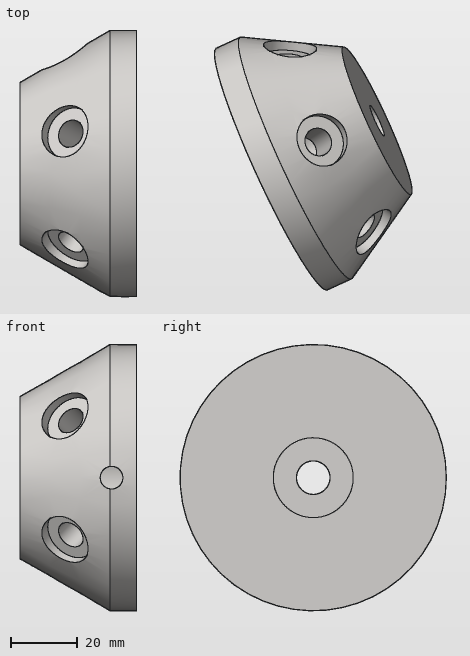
import cadquery as cq
import math

rim_radius = 40.0
total_length = 35.0
rim_width = 8.0
cone_half_angle = 30.0
bore_diameter = 10.0

recess_diameter = 24.0
recess_depth = 14.0

socket_count = 5
counterbore_diameter = 16.0
counterbore_depth = 3.5
socket_hole_diameter = 8.5
socket_hole_depth = 17.0
drill_point_angle = 118.0
tool_clearance = 8.0

side_hole_diameter = 6.8
side_hole_x = 27.5

cone_length = total_length - rim_width
cone_slope = math.tan(math.radians(cone_half_angle))
front_radius = rim_radius - cone_length * cone_slope


def make_body():
    """Revolve the half profile about the X axis."""
    return (
        cq.Workplane("XY")
        .moveTo(0, 0)
        .lineTo(0, front_radius)
        .lineTo(cone_length, rim_radius)
        .lineTo(total_length, rim_radius)
        .lineTo(total_length, 0)
        .close()
        .revolve(360, (0, 0, 0), (1, 0, 0))
    )


def make_bore():
    return cq.Workplane("YZ").circle(bore_diameter / 2).extrude(total_length)


def make_recess():
    return (
        cq.Workplane("YZ")
        .workplane(offset=total_length - recess_depth)
        .circle(recess_diameter / 2)
        .extrude(recess_depth)
    )


def make_socket():
    """Cutter for the +Y socket, centred halfway along the cone, with a drill point."""
    tilt = math.radians(cone_half_angle)
    center = cq.Vector(cone_length / 2, (front_radius + rim_radius) / 2, 0)
    outward = cq.Vector(-math.sin(tilt), math.cos(tilt), 0)
    start = center + outward * tool_clearance
    inward = outward * -1
    counterbore = cq.Solid.makeCylinder(
        counterbore_diameter / 2, counterbore_depth + tool_clearance, start, inward
    )
    hole = cq.Solid.makeCylinder(
        socket_hole_diameter / 2, socket_hole_depth + tool_clearance, start, inward
    )
    hole_radius = socket_hole_diameter / 2
    point_length = hole_radius / math.tan(math.radians(drill_point_angle / 2))
    drill_point = cq.Solid.makeCone(
        hole_radius, 0, point_length, center + inward * socket_hole_depth, inward
    )
    return (
        cq.Workplane(obj=counterbore)
        .union(cq.Workplane(obj=hole))
        .union(cq.Workplane(obj=drill_point))
    )


def make_side_hole():
    """Cutter from the -Y side of the rim to the central axis."""
    return cq.Workplane(
        obj=cq.Solid.makeCylinder(
            side_hole_diameter / 2,
            rim_radius,
            cq.Vector(side_hole_x, -rim_radius, 0),
            cq.Vector(0, 1, 0),
        )
    )


result = make_body().cut(make_bore()).cut(make_recess()).cut(make_side_hole())
socket = make_socket()
for index in range(socket_count):
    angle = index * 360 / socket_count
    result = result.cut(socket.rotate((0, 0, 0), (1, 0, 0), angle))